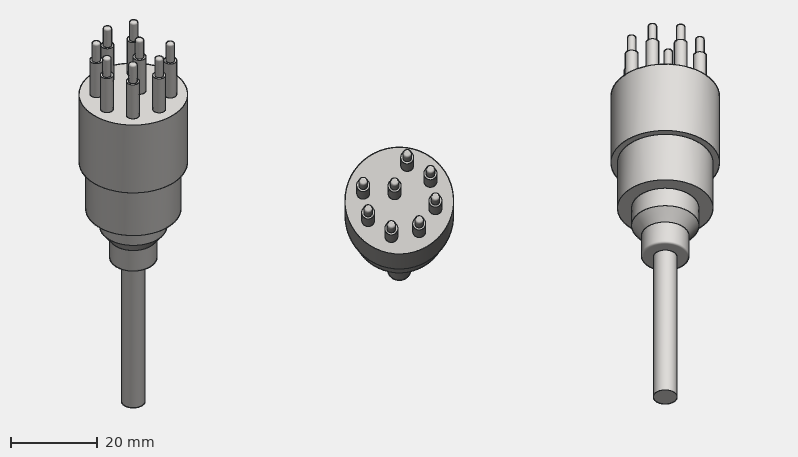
import cadquery as cq
import math

flange_diameter = 25.0
flange_length = 19.0
barrel_diameter = 22.0
barrel_length = 13.0
neck_diameter = 15.5
neck_length = 5.0
flare_length = 3.0
collar_diameter = 11.0
collar_length = 6.0
collar_edge_fillet = 0.5
cable_diameter = 5.5
cable_length = 40.0

pin_base_diameter = 3.0
pin_base_height = 9.5
pin_tip_diameter = 2.0
pin_tip_height = 5.0
pin_tip_fillet = 0.5

pin_circle_radius = 8.5
pin_places = 8
inner_pin_place = 2
inner_pin_radius = 2.0

flange_bottom = -flange_length
barrel_bottom = flange_bottom - barrel_length
neck_bottom = barrel_bottom - neck_length
collar_top = neck_bottom - flare_length
collar_bottom = collar_top - collar_length


def cylinder(diameter, start_z, length):
    """Upright cylinder on the Z axis, from start_z upward."""
    return cq.Workplane("XY").workplane(offset=start_z).circle(diameter / 2).extrude(length)


def make_flare():
    """Conical flare narrowing from the neck down to the collar."""
    profile = (
        cq.Workplane("XZ")
        .moveTo(0, neck_bottom)
        .lineTo(neck_diameter / 2, neck_bottom)
        .lineTo(collar_diameter / 2, collar_top)
        .lineTo(0, collar_top)
        .close()
    )
    return profile.revolve(360, (0, 0, 0), (0, 1, 0))


def make_body():
    """Flange, barrel, neck, flare, collar and cable along one axis."""
    flange = cylinder(flange_diameter, flange_bottom, flange_length)
    barrel = cylinder(barrel_diameter, barrel_bottom, barrel_length)
    neck = cylinder(neck_diameter, neck_bottom, neck_length)
    collar = cylinder(collar_diameter, collar_bottom, collar_length)
    collar = collar.faces("<Z").edges().fillet(collar_edge_fillet)
    cable = cylinder(cable_diameter, collar_bottom - cable_length, cable_length)
    return flange.union(barrel).union(neck).union(make_flare()).union(collar).union(cable)


def make_pin():
    """Stepped pin with a rounded tip, standing at the origin."""
    base = cylinder(pin_base_diameter, 0, pin_base_height)
    tip = cylinder(pin_tip_diameter, pin_base_height, pin_tip_height)
    tip = tip.faces(">Z").edges().fillet(pin_tip_fillet)
    return base.union(tip)


def pin_position(place):
    """Centre of the pin at the given place, counted from +X toward +Y."""
    angle = 2 * math.pi * place / pin_places
    radius = inner_pin_radius if place == inner_pin_place else pin_circle_radius
    return (radius * math.cos(angle), radius * math.sin(angle), 0)


result = make_body()
pin = make_pin()
for place in range(pin_places):
    result = result.union(pin.translate(pin_position(place)))